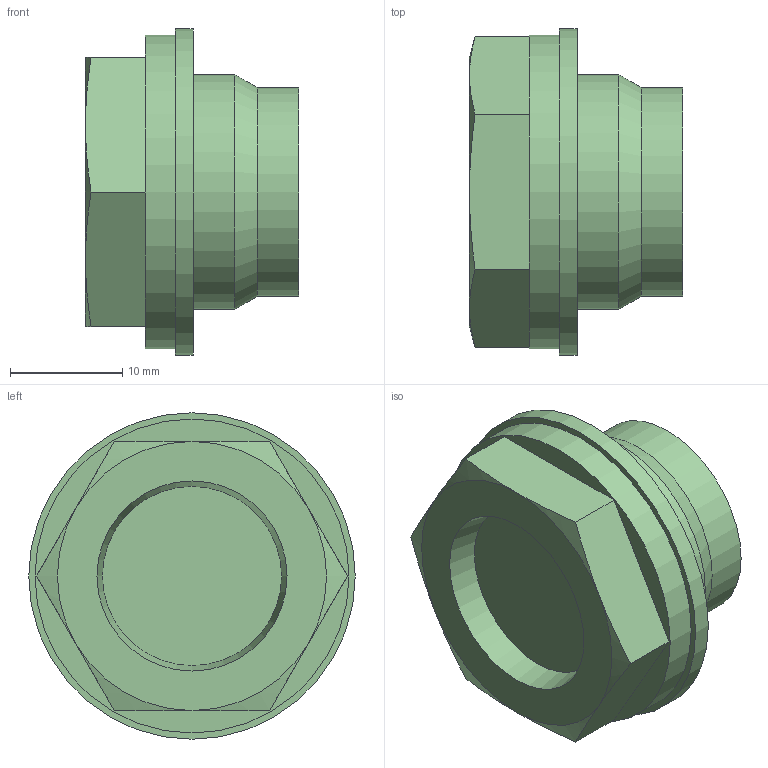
import cadquery as cq
import math

total_length = 19.0
hex_height = 5.35
collar_width = 2.65
flange_width = 1.6
body_length = 3.7

collar_diameter = 28.0
flange_diameter = 29.12
body_diameter = 20.95
spigot_diameter = 18.6

cone_angle = 30.0

hex_sides = 6
hex_across_flats = 24.0
hex_across_corners = hex_across_flats / math.cos(math.radians(180 / hex_sides))
corner_chamfer_angle = 15.0

recess_mouth_diameter = 16.95
recess_floor_diameter = 16.0
recess_depth = 2.65

collar_end = hex_height + collar_width
flange_end = collar_end + flange_width
body_end = flange_end + body_length
cone_length = (body_diameter - spigot_diameter) / 2 / math.tan(math.radians(cone_angle))
cone_end = body_end + cone_length


def turned(profile):
    """Solid of revolution about X from (x, radius) points."""
    return cq.Workplane("XY").polyline(profile).close().revolve(360, (0, 0, 0), (1, 0, 0))


def make_hex_head():
    """Hexagon whose outer corners are cut back by a shallow cone."""
    prism = cq.Workplane("YZ").polygon(hex_sides, hex_across_corners).extrude(hex_height)
    flat_radius = hex_across_flats / 2
    corner_radius = hex_across_corners / 2
    chamfer_depth = (corner_radius - flat_radius) * math.tan(math.radians(corner_chamfer_angle))
    chamfer_envelope = turned([
        (0, 0),
        (0, flat_radius),
        (chamfer_depth, corner_radius),
        (hex_height, corner_radius),
        (hex_height, 0),
    ])
    return prism.intersect(chamfer_envelope)


def make_turned_body():
    """Collar, flange, body, cone and spigot."""
    collar_radius = collar_diameter / 2
    flange_radius = flange_diameter / 2
    body_radius = body_diameter / 2
    spigot_radius = spigot_diameter / 2
    return turned([
        (hex_height, 0),
        (hex_height, collar_radius),
        (collar_end, collar_radius),
        (collar_end, flange_radius),
        (flange_end, flange_radius),
        (flange_end, body_radius),
        (body_end, body_radius),
        (cone_end, spigot_radius),
        (total_length, spigot_radius),
        (total_length, 0),
    ])


def make_recess():
    """Tapered plug to remove from the hex face."""
    return turned([
        (0, 0),
        (0, recess_mouth_diameter / 2),
        (recess_depth, recess_floor_diameter / 2),
        (recess_depth, 0),
    ])


result = make_hex_head().union(make_turned_body()).cut(make_recess())